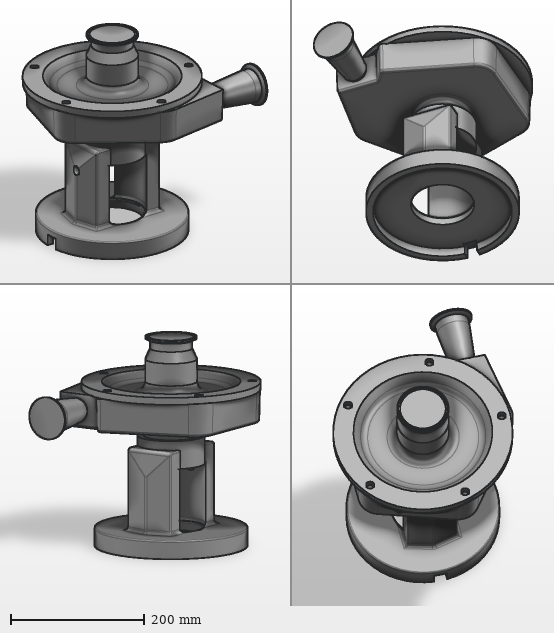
import cadquery as cq
import math

base_top = 28.5
collar_bottom = 126.0
column_top = 154.5
collar_top = 168.5
casing_bottom = 188.2
casing_top = 240.0
flange_top = 251.0
reducer_bottom = 285.0
reducer_top = 301.5
inlet_top = 319.5

base_radius = 115.2
base_edge_fillet = 2.0
base_bore_radius = 47.5
base_rim = 10.7
base_cavity_height = 14.7
notch_width = 20.0
notch_height = 17.8
notch_length = 16.7
notch_corner = 2.0

column_half_width = 39.0
column_shoulder_y = 59.5
column_ridge_y = 69.5
column_bore_radius = 52.2
shoulder_fillet = 2.7
ridge_fillet = 8.5
foot_fillet = 6.0
slope_start = 114.5
slope_angle = 15
top_fillet = 7.5
side_top_fillet = 2.5
leg_hole_diameter = 14.0
leg_hole_height = 114.0
select_margin = 0.5

collar_radius = 51.0
neck_radius = 41.5
neck_fillet = 9.5

pentagon_apothem = 115.0
pentagon_corner_radius = 33.8
outlet_corner_radius = 6.7
casing_draft = 1.5
casing_bottom_fillet = 4.7
outlet_face_y = 115.5
outlet_block_x = 123.3

flange_radius = 135.0
bolt_count = 5
bolt_circle_radius = 122.0
bolt_hole_diameter = 12.5
dish_top_radius = 104.5
dish_cone_depth = 10.5
dish_fillet = 15.0

inlet_body_radius = 39.2
inlet_pipe_radius = 31.8
inlet_ferrule_radius = 39.0
ferrule_edge = 2.7
ferrule_thickness = 5.7
groove_radius = 35.5
groove_half_width = 1.5

outlet_x = 90.8
outlet_z = 215.7
outlet_end_y = 200.0
outlet_cone_end_y = 182.5
outlet_root_length = 3.7
outlet_root_radius = 16.5
outlet_cone_radius = 18.8
outlet_pipe_radius = 25.5
outlet_ferrule_radius = 32.0


def cylinder(radius, bottom, top):
    return cq.Workplane("XY").workplane(offset=bottom).circle(radius).extrude(top - bottom)


def polar(radius, degrees):
    angle = math.radians(degrees)
    return (radius * math.cos(angle), radius * math.sin(angle))


def revolve(profile):
    """Turn a closed (radius, height) wire drawn on XZ about the Z axis."""
    return profile.close().revolve(360, (0, 0, 0), (0, 1, 0))


def make_column():
    half_outline = [
        (column_half_width, column_shoulder_y),
        (0, column_ridge_y),
        (-column_half_width, column_shoulder_y),
    ]
    outline = half_outline + [(-x, -y) for x, y in half_outline]
    column = cq.Workplane("XY").polyline(outline).close().extrude(column_top)
    column = column.edges("|Z and (>Y or <Y)").fillet(ridge_fillet)

    rise = column_top - slope_start
    run = rise * math.tan(math.radians(slope_angle))
    slope = (
        cq.Workplane("YZ")
        .moveTo(column_ridge_y, slope_start)
        .line(-run, rise)
        .line(run, 0)
        .close()
        .extrude(column_half_width, both=True)
    )
    column = column.cut(slope).cut(slope.mirror("XZ"))
    column = column.faces(">Z").edges("|X").fillet(top_fillet)
    return column


def column_edge_box(bottom, top):
    """Select the column edges whose middles lie between two levels."""
    return cq.selectors.BoxSelector(
        (-column_half_width - select_margin, -column_ridge_y - select_margin, bottom - select_margin),
        (column_half_width + select_margin, column_ridge_y + select_margin, top + select_margin),
    )


def make_stand():
    stand = cylinder(base_radius, 0, base_top).faces(">Z").edges().fillet(base_edge_fillet)
    stand = stand.union(make_column())
    foot = column_edge_box(base_top, base_top)
    stand = stand.edges(foot).fillet(foot_fillet)
    above_foot = column_edge_box(base_top + foot_fillet, column_top)
    stand = stand.edges(above_foot).edges("|Z").edges("<X or >X").fillet(shoulder_fillet)
    stand = stand.faces(">Z").edges("|Y").fillet(side_top_fillet)

    round_center = column_bore_radius - foot_fillet
    bore_mouth_radius = base_bore_radius + base_edge_fillet
    mouth_z = base_top + foot_fillet - math.sqrt(
        foot_fillet**2 - (bore_mouth_radius - round_center) ** 2
    )
    bore = revolve(
        cq.Workplane("XZ")
        .lineTo(base_bore_radius, 0)
        .lineTo(base_bore_radius, base_top - base_edge_fillet)
        .radiusArc((bore_mouth_radius, base_top), base_edge_fillet)
        .lineTo(bore_mouth_radius, mouth_z)
        .radiusArc((column_bore_radius, base_top + foot_fillet), -foot_fillet)
        .lineTo(column_bore_radius, collar_bottom)
        .lineTo(0, collar_bottom)
    )
    cavity = cylinder(base_radius - base_rim, 0, base_cavity_height)
    notch = (
        cq.Workplane("XY")
        .box(notch_width, notch_length, notch_height, centered=(True, False, False))
        .edges("|Y and >Z")
        .fillet(notch_corner)
        .translate((0, -base_radius, 0))
    )
    leg_hole = (
        cq.Workplane("XZ")
        .center(0, leg_hole_height)
        .circle(leg_hole_diameter / 2)
        .extrude(column_ridge_y)
    )
    return stand.cut(bore).cut(cavity).cut(notch).cut(leg_hole)


def make_casing():
    corner_distance = pentagon_apothem / math.cos(math.pi / 5)
    outlet_corner = polar(corner_distance, 72)
    round_corners = [polar(corner_distance, degrees) for degrees in (144, 216, 288, 0)]
    side_x, side_y = polar(1, 36)
    inner_corner = ((pentagon_apothem - outlet_face_y * side_y) / side_x, outlet_face_y)
    block_corner = (outlet_block_x, outlet_face_y)

    points = [outlet_corner] + round_corners + [block_corner, inner_corner, outlet_corner]
    outline = cq.Sketch().polygon(points)
    for corner in round_corners:
        outline = outline.reset().vertices(cq.NearestToPointSelector((*corner, 0)))
        outline = outline.fillet(pentagon_corner_radius)
    outline = outline.reset().vertices(cq.NearestToPointSelector((*outlet_corner, 0)))
    outline = outline.fillet(outlet_corner_radius).reset()

    casing = (
        cq.Workplane("XY")
        .workplane(offset=casing_top)
        .placeSketch(outline)
        .extrude(casing_bottom - casing_top, taper=casing_draft)
    )
    return casing.faces("<Z").edges().fillet(casing_bottom_fillet)


def make_neck():
    neck = revolve(
        cq.Workplane("XZ")
        .moveTo(0, collar_top)
        .lineTo(neck_radius, collar_top)
        .lineTo(neck_radius, casing_bottom - neck_fillet)
        .radiusArc((neck_radius + neck_fillet, casing_bottom), neck_fillet)
        .lineTo(0, casing_bottom)
    )
    return neck.union(cylinder(collar_radius, collar_bottom, collar_top))


def make_dish():
    """Ring-shaped recess: 45 degree wall, rounded floor edge and rounded pipe root."""
    wall_bottom_radius = dish_top_radius - dish_cone_depth
    wall_bottom = flange_top - dish_cone_depth
    tangent = math.sqrt(0.5)
    floor = wall_bottom - dish_fillet * (1 - tangent)
    floor_radius = wall_bottom_radius - dish_fillet * tangent
    root_top = floor + dish_fillet
    return revolve(
        cq.Workplane("XZ")
        .moveTo(inlet_body_radius, root_top)
        .radiusArc((inlet_body_radius + dish_fillet, floor), -dish_fillet)
        .lineTo(floor_radius, floor)
        .radiusArc((wall_bottom_radius, wall_bottom), -dish_fillet)
        .lineTo(dish_top_radius, flange_top)
        .lineTo(dish_top_radius, root_top)
    )


def make_pipe(profile):
    return revolve(cq.Workplane("XZ").polyline(profile))


def ferrule_profile(pipe_radius, ferrule_radius, end):
    return [
        (pipe_radius, end - ferrule_thickness),
        (ferrule_radius, end - ferrule_edge),
        (ferrule_radius, end),
        (0, end),
    ]


def make_inlet():
    profile = [
        (0, casing_top),
        (inlet_body_radius, casing_top),
        (inlet_body_radius, reducer_bottom),
        (inlet_pipe_radius, reducer_top),
    ] + ferrule_profile(inlet_pipe_radius, inlet_ferrule_radius, inlet_top)
    groove = (
        cq.Workplane("XZ")
        .center(groove_radius, inlet_top)
        .circle(groove_half_width)
        .revolve(360, (-groove_radius, 0, 0), (-groove_radius, 1, 0))
    )
    return make_pipe(profile).cut(groove)


def make_outlet():
    profile = [
        (0, outlet_face_y - outlet_root_length),
        (outlet_root_radius, outlet_face_y - outlet_root_length),
        (outlet_root_radius, outlet_face_y),
        (outlet_cone_radius, outlet_face_y + outlet_root_length),
        (outlet_pipe_radius, outlet_cone_end_y),
    ] + ferrule_profile(outlet_pipe_radius, outlet_ferrule_radius, outlet_end_y)
    pipe = make_pipe(profile).rotate((0, 0, 0), (1, 0, 0), -90)
    return pipe.translate((outlet_x, 0, outlet_z))


bolt_holes = (
    cq.Workplane("XY")
    .workplane(offset=casing_top)
    .polarArray(bolt_circle_radius, 0, 360, bolt_count)
    .circle(bolt_hole_diameter / 2)
    .extrude(flange_top - casing_top)
)

cover = cylinder(flange_radius, casing_top, flange_top).cut(bolt_holes)
result = (
    make_stand()
    .union(make_neck())
    .union(make_casing())
    .union(cover)
    .cut(make_dish())
    .union(make_inlet())
    .union(make_outlet())
)